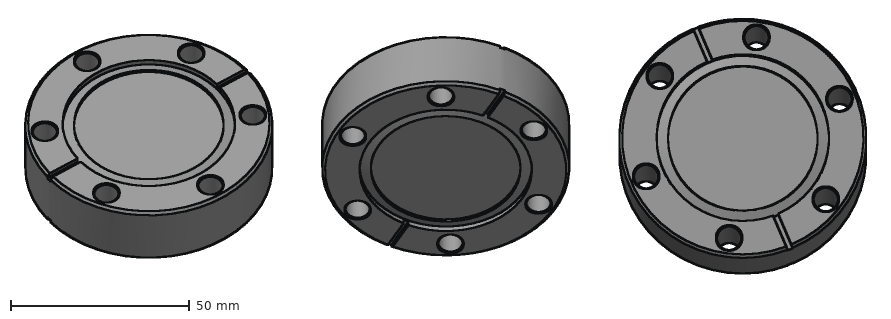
import cadquery as cq
import math

outer_diameter = 69.35
thickness = 19.1
rim_chamfer = 0.8

recess_diameter = 48.3
knife_diameter = 41.95
knife_depth = 0.6
knife_slope = 20.0
floor_depth = 1.45

bolt_count = 6
bolt_circle_diameter = 58.65
bolt_hole_diameter = 6.8
bolt_hole_chamfer = 0.35

groove_width = 1.5
groove_depth = 1.4
groove_angle = 60.0

outer_radius = outer_diameter / 2
recess_radius = recess_diameter / 2
knife_radius = knife_diameter / 2
half_thickness = thickness / 2


def make_body():
    disc = cq.Workplane("XY", origin=(0, 0, -half_thickness)).circle(outer_radius).extrude(thickness)
    return disc.edges("%CIRCLE").chamfer(rim_chamfer)


def make_recess():
    """Material removed from the top face inside the recess wall."""
    ring_drop = (recess_radius - knife_radius) * math.tan(math.radians(knife_slope))
    profile = [
        (0, half_thickness),
        (recess_radius, half_thickness),
        (recess_radius, half_thickness - knife_depth - ring_drop),
        (knife_radius, half_thickness - knife_depth),
        (knife_radius, half_thickness - floor_depth),
        (0, half_thickness - floor_depth),
    ]
    return cq.Workplane("XZ").polyline(profile).close().revolve(360, (0, 0), (0, 1))


def make_grooves():
    """Two opposite top-face grooves from the recess wall out through the rim."""
    bar = (
        cq.Workplane("XY", origin=(0, 0, half_thickness))
        .rect(2 * outer_diameter, groove_width)
        .extrude(-groove_depth)
        .rotate((0, 0, 0), (0, 0, 1), groove_angle)
    )
    recess_core = cq.Workplane("XY").circle(recess_radius).extrude(half_thickness)
    return bar.cut(recess_core)


def make_bolt_holes():
    """Bolt-hole cutters: each a cylinder flared at both faces."""
    hole_radius = bolt_hole_diameter / 2
    mouth_radius = hole_radius + bolt_hole_chamfer
    chamfer_start = half_thickness - bolt_hole_chamfer
    profile = [
        (0, -half_thickness),
        (mouth_radius, -half_thickness),
        (hole_radius, -chamfer_start),
        (hole_radius, chamfer_start),
        (mouth_radius, half_thickness),
        (0, half_thickness),
    ]
    cutter = cq.Workplane("XZ").polyline(profile).close().revolve(360, (0, 0), (0, 1)).val()
    first_hole_angle = 90
    return (
        cq.Workplane("XY")
        .polarArray(bolt_circle_diameter / 2, first_hole_angle, 360, bolt_count)
        .eachpoint(lambda location: cutter.moved(location))
    )


result = make_body().cut(make_bolt_holes())
for face_cut in (make_recess(), make_grooves()):
    result = result.cut(face_cut).cut(face_cut.mirror("XY"))